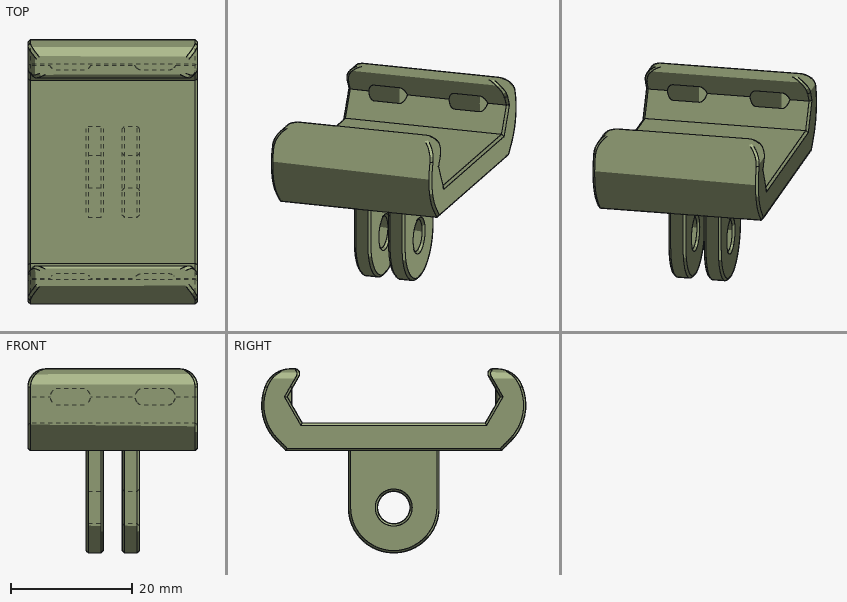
import cadquery as cq
import math

width = 28.0
length = 43.6
height = 13.5
floor_thickness = 4.6
floor_half_width = 15.1
underside_half_width = 17.75
slant_length = 4.95
slant_angle = math.radians(60)
widest_height = 7.5
crown_start_height = 10.9
corner_radius = 3.0
lip_tip_radius = 0.85
edge_chamfer = 0.4

pad_length = 6.98
pad_depth = 1.75
pad_spacing = width / 2
pad_half_gap = 16.8
pad_corner_radius = 1.3

lug_width = 15.0
lug_thickness = 2.9
lug_gap = 3.1
lug_drop = 16.88
hole_diameter = 5.3

half_length = length / 2
lug_radius = lug_width / 2
hole_height = lug_radius - lug_drop
lug_offset = (lug_gap + lug_thickness) / 2

notch_half_width = floor_half_width + slant_length * math.cos(slant_angle)
notch_height = floor_thickness + slant_length * math.sin(slant_angle)

bevel_reach = underside_half_width + widest_height - half_length
outer_radius = bevel_reach / (math.sqrt(2) - 1)
outer_center = (half_length - outer_radius, widest_height)
crown_angle = math.asin((crown_start_height - widest_height) / outer_radius)


def polar(center, radius, angle):
    """Point at an angle on a circle in the YZ plane."""
    return (center[0] + radius * math.cos(angle), center[1] + radius * math.sin(angle))


crown_start = polar(outer_center, outer_radius, crown_angle)
crown_radius = (height - crown_start_height) / (1 - math.sin(crown_angle))
crown_center = polar(crown_start, -crown_radius, crown_angle)

lip_corner_y = notch_half_width - (height - notch_height) / math.tan(slant_angle)
tip_center = (lip_corner_y + lip_tip_radius / math.tan(slant_angle / 2), height - lip_tip_radius)
tip_start = polar(tip_center, lip_tip_radius, math.pi + slant_angle / 2)

bevel_start_height = height - corner_radius
bevel_start_tilt = math.asin((bevel_start_height - widest_height) / outer_radius)
outer_setback = edge_chamfer / math.cos(bevel_start_tilt)
inner_setback = edge_chamfer / math.sin(slant_angle)
bevel_steps = 8
cutter_margin = 4.35


def arc_run(radius, rise):
    """Horizontal distance from a circle's centre to its arc at a height above the centre."""
    return math.sqrt(max(radius**2 - rise**2, 0))


def lip_end_x(z):
    """Half width of the channel at height z, where the ends of the lips are rounded."""
    return width / 2 - corner_radius + arc_run(corner_radius, z - bevel_start_height)


def lip_outer_y(z):
    """Outer face of the lip at height z: the large arc, then the crown arc."""
    if z < crown_start_height:
        return outer_center[0] + arc_run(outer_radius, z - widest_height)
    return crown_center[0] + arc_run(crown_radius, z - crown_center[1])


def lip_inner_y(z):
    """Inner face of the lip at height z: the leaning wall, then the rounded tip."""
    if z < tip_start[1]:
        return notch_half_width - (z - notch_height) / math.tan(slant_angle)
    return tip_center[0] - arc_run(lip_tip_radius, z - tip_center[1])


def make_half_channel():
    """Plain prism of the +Y half of the channel."""
    profile = (
        cq.Workplane("YZ", origin=(-width / 2, 0, 0))
        .lineTo(underside_half_width, 0)
        .lineTo(*polar(outer_center, outer_radius, -math.pi / 4))
        .threePointArc((half_length, widest_height), crown_start)
        .threePointArc(
            polar(crown_center, crown_radius, (crown_angle + math.pi / 2) / 2),
            (crown_center[0], height),
        )
        .lineTo(tip_center[0], height)
        .threePointArc(polar(tip_center, lip_tip_radius, math.pi - slant_angle / 2), tip_start)
        .lineTo(notch_half_width, notch_height)
        .lineTo(floor_half_width, floor_thickness)
        .lineTo(0, floor_thickness)
        .close()
    )
    return profile.extrude(width)


def make_bevel_cutter(face_y, outward, setback):
    """Cutter for the edge between a lip face and the rounded end of the +X, +Y lip.

    The bevel runs at 45 degrees in plan; outward is +1 for the outer face and -1 for the inner face.
    """
    plane = cq.Plane(origin=(0, 0, 0), xDir=(1, outward, 0), normal=(outward, -1, 0))

    def bevel_point(fraction):
        z = height - (height - bevel_start_height) * (1 - fraction) ** 2
        return ((lip_end_x(z) + outward * face_y(z) - setback) / math.sqrt(2), z)

    points = [bevel_point(step / bevel_steps) for step in range(bevel_steps + 1)]
    cutter_side = points[0][0] + cutter_margin
    profile = (
        cq.Workplane(plane)
        .moveTo(*points[0])
        .spline(points[1:], includeCurrent=True)
        .lineTo(points[-1][0], height + cutter_margin)
        .lineTo(cutter_side, height + cutter_margin)
        .lineTo(cutter_side, bevel_start_height)
        .close()
    )
    along = (outward * lip_end_x(bevel_start_height) - face_y(bevel_start_height)) / math.sqrt(2)
    reach = 2 * corner_radius
    cutter = profile.extrude(reach, both=True)
    return cutter.translate(plane.zDir * along)


def make_channel():
    half = make_half_channel()
    channel = half.union(half.mirror("XZ")).clean()
    channel = channel.faces("<X or >X").edges().chamfer(edge_chamfer)
    rounded_envelope = (
        cq.Workplane("XY")
        .box(width, length, height, centered=(True, True, False))
        .edges("|Y and >Z")
        .fillet(corner_radius)
    )
    channel = channel.intersect(rounded_envelope)
    for cutter in (
        make_bevel_cutter(lip_outer_y, 1, outer_setback),
        make_bevel_cutter(lip_inner_y, -1, inner_setback),
    ):
        for corner_cutter in (cutter, cutter.mirror("YZ")):
            channel = channel.cut(corner_cutter).cut(corner_cutter.mirror("XZ"))
    return channel


def make_pad(x):
    """Grip pad bridging the +Y notch, with rounded vertical corners on its exposed face."""
    pad_height = 2 * (notch_half_width - pad_half_gap) * math.tan(slant_angle)
    return (
        cq.Workplane("XY", origin=(x, pad_half_gap, notch_height))
        .box(pad_length, pad_depth, pad_height, centered=(True, False, True))
        .edges("|Z and <Y")
        .fillet(pad_corner_radius)
    )


def make_lug(x):
    """Rounded tab with a pin hole; every free edge is chamfered."""
    tab = (
        cq.Workplane("YZ", origin=(x - lug_thickness / 2, 0, 0))
        .moveTo(-lug_radius, floor_thickness / 2)
        .lineTo(-lug_radius, hole_height)
        .threePointArc((0, -lug_drop), (lug_radius, hole_height))
        .lineTo(lug_radius, floor_thickness / 2)
        .close()
        .extrude(lug_thickness)
    )
    hole = (
        cq.Workplane("YZ", origin=(x - lug_thickness / 2, 0, hole_height))
        .circle(hole_diameter / 2)
        .extrude(lug_thickness)
    )
    return tab.cut(hole).faces("<X or >X").edges().chamfer(edge_chamfer)


result = make_channel()
for end in (-1, 1):
    pad = make_pad(end * pad_spacing / 2)
    result = result.union(pad).union(pad.mirror("XZ"))
    result = result.union(make_lug(end * lug_offset))